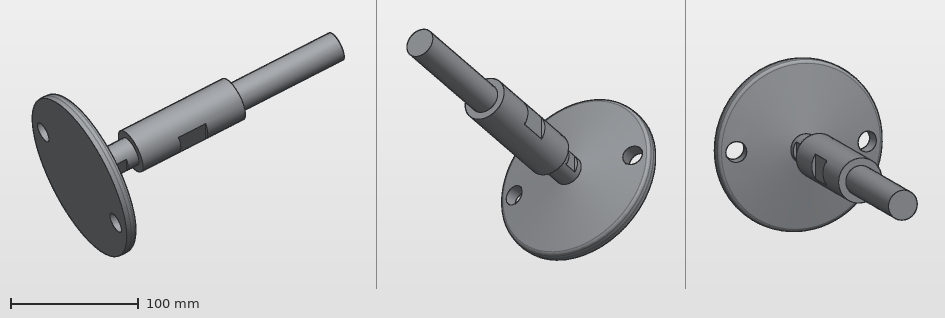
import cadquery as cq
import math

TOTAL_LENGTH = 238.0

RIM_DIAMETER = 138.0
RIM_HEIGHT = 4.0
RIM_DRAFT = 5.0
PLATE_HEIGHT = 19.4
CONE_ANGLE = 10.0
EDGE_FILLET = 3.0

HOLE_DIAMETER = 16.5
HOLE_BASE_OFFSET = 52.5
HOLE_CUT_LENGTH = 60.0

ROD_DIAMETER = 24.0
ROD_FLAT_WIDTH = 19.0
ROD_FLAT_START = 25.0
ROD_FLAT_LENGTH = 12.5

COLLAR_DIAMETER = 36.0
COLLAR_START = 47.5
COLLAR_LENGTH = 95.0
COLLAR_FLAT_WIDTH = 30.0
COLLAR_FLAT_LENGTH = 25.0
COLLAR_FLAT_START = COLLAR_START + (COLLAR_LENGTH - COLLAR_FLAT_LENGTH) / 2


def cylinder(diameter, start, length):
    """Round bar along +Y, beginning at Y = start."""
    return cq.Workplane("XZ", origin=(0, start, 0)).circle(diameter / 2).extrude(-length)


def flatted_bar(diameter, start, length, flat_width, flat_start, flat_length):
    """Round bar with two parallel wrench flats facing -X and +X."""
    bar = cylinder(diameter, start, length)
    depth = (diameter - flat_width) / 2
    flat_middle = flat_start + flat_length / 2
    for side in (-1, 1):
        cutter = cq.Workplane("XY").box(depth, flat_length, diameter)
        bar = bar.cut(cutter.translate((side * (flat_width + depth) / 2, flat_middle, 0)))
    return bar


def make_plate_disc():
    """Conical disc whose rim tapers both ways and whose upper edge is rounded."""
    rim_radius = RIM_DIAMETER / 2
    rod_radius = ROD_DIAMETER / 2
    rim_slope = math.tan(math.radians(RIM_DRAFT))
    cone_slope = math.tan(math.radians(CONE_ANGLE))
    base_radius = rim_radius - RIM_HEIGHT * rim_slope

    rise = PLATE_HEIGHT - RIM_HEIGHT - (rim_radius - rod_radius) * cone_slope
    rise /= 1 - rim_slope * cone_slope
    corner_radius = rim_radius - rise * rim_slope
    corner_height = RIM_HEIGHT + rise

    profile = [
        (0, 0),
        (base_radius, 0),
        (rim_radius, RIM_HEIGHT),
        (corner_radius, corner_height),
        (rod_radius, PLATE_HEIGHT),
        (0, PLATE_HEIGHT),
    ]
    disc = cq.Workplane("XY").polyline(profile).close().revolve(360, (0, 0, 0), (0, 1, 0))
    return disc.edges("%CIRCLE").edges(">>Y[-2]").fillet(EDGE_FILLET)


def make_hole_cutter(side):
    """Cylinder leaning outward by the cone angle, through the plate at +X or -X."""
    tilt = math.radians(CONE_ANGLE)
    axis = cq.Vector(side * math.sin(tilt), math.cos(tilt), 0)
    start = cq.Vector(side * HOLE_BASE_OFFSET, 0, 0) - axis * (HOLE_CUT_LENGTH / 2)
    return cq.Workplane(cq.Solid.makeCylinder(HOLE_DIAMETER / 2, HOLE_CUT_LENGTH, start, axis))


def make_foot_plate():
    plate = make_plate_disc()
    for side in (-1, 1):
        plate = plate.cut(make_hole_cutter(side))
    return plate


def make_spindle():
    """Rod and collar in one piece, each with its own pair of wrench flats."""
    rod = flatted_bar(
        ROD_DIAMETER, PLATE_HEIGHT, TOTAL_LENGTH - PLATE_HEIGHT,
        ROD_FLAT_WIDTH, ROD_FLAT_START, ROD_FLAT_LENGTH,
    )
    collar = flatted_bar(
        COLLAR_DIAMETER, COLLAR_START, COLLAR_LENGTH,
        COLLAR_FLAT_WIDTH, COLLAR_FLAT_START, COLLAR_FLAT_LENGTH,
    )
    return rod.union(collar)


foot_plate = make_foot_plate()
spindle = make_spindle()

result = cq.Compound.makeCompound([foot_plate.val(), spindle.val()])